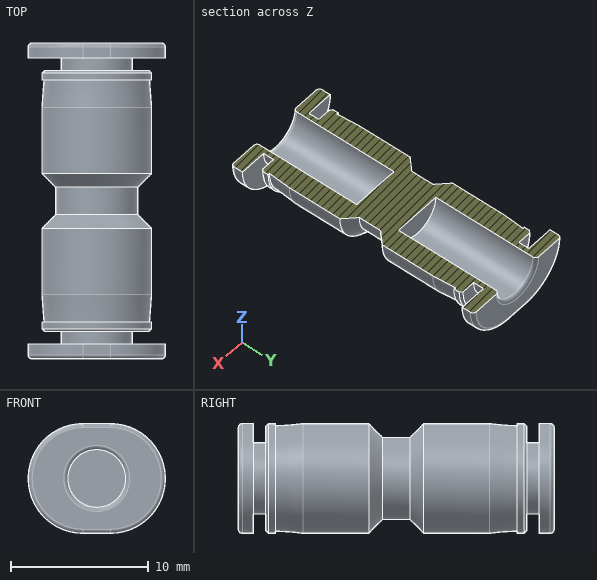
import cadquery as cq


total_length = 23.0
flange_width = 10.0
body_diameter = 8.0

flange_thickness = 1.1
body_start = 2.0
rim_end = 2.7
taper_end = 4.7
shoulder_start = 9.5
waist_start = 10.5

body_radius = body_diameter / 2
waist_radius = 3.0
collar_radius = 2.6
taper_radius = 3.85
bore_radius = 2.1

bore_depth = 9.5
flange_rounding = 0.3
rim_chamfer = 0.2
bore_mouth_rounding = 0.3

half_length = total_length / 2


def make_half_body():
    """Revolved collar, rim, taper, barrel, shoulder and waist of the -Y half."""
    collar_start = flange_thickness / 2 - half_length
    body_face = body_start - half_length
    rim_back = rim_end - half_length
    return (
        cq.Workplane("XY")
        .moveTo(0, collar_start)
        .lineTo(collar_radius, collar_start)
        .lineTo(collar_radius, body_face)
        .lineTo(body_radius - rim_chamfer, body_face)
        .lineTo(body_radius, body_face + rim_chamfer)
        .lineTo(body_radius, rim_back)
        .lineTo(taper_radius, rim_back)
        .lineTo(body_radius, taper_end - half_length)
        .lineTo(body_radius, shoulder_start - half_length)
        .lineTo(waist_radius, waist_start - half_length)
        .lineTo(waist_radius, 0)
        .lineTo(0, 0)
        .close()
        .revolve(360, (0, 0, 0), (0, 1, 0))
    )


def make_flange():
    """Oval release flange at the -Y end with a rounded outer edge."""
    return (
        cq.Workplane("XZ", origin=(0, -half_length, 0))
        .slot2D(flange_width, body_diameter)
        .extrude(-flange_thickness)
        .faces("<Y")
        .edges()
        .fillet(flange_rounding)
    )


def make_bore():
    """Tube socket cutter for the -Y end, flared where it meets the flange face."""
    bore_floor = bore_depth - half_length
    mouth_radius = bore_radius + bore_mouth_rounding
    return (
        cq.Workplane("XY")
        .moveTo(0, -half_length)
        .lineTo(mouth_radius, -half_length)
        .radiusArc((bore_radius, bore_mouth_rounding - half_length), bore_mouth_rounding)
        .lineTo(bore_radius, bore_floor)
        .lineTo(0, bore_floor)
        .close()
        .revolve(360, (0, 0, 0), (0, 1, 0))
    )


half = make_half_body().union(make_flange()).cut(make_bore())
result = half.union(half.mirror("XZ"))